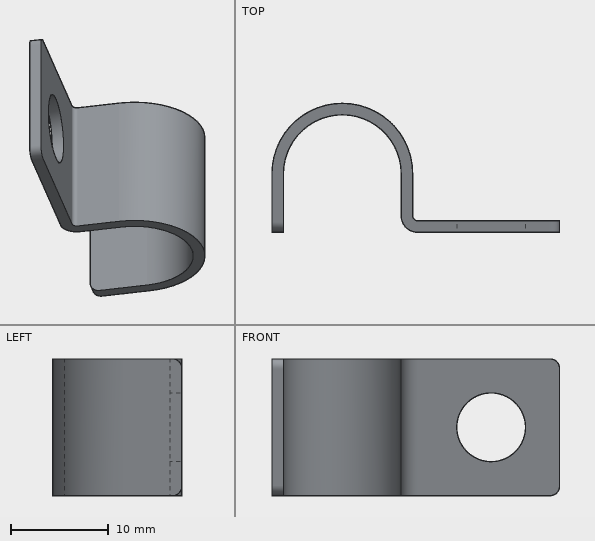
import cadquery as cq

strip_width = 14.0
thickness = 1.2
clamped_diameter = 12.0
overall_length = 29.4
leg_length = 6.0
bend_inner_radius = 0.5
corner_radius = 1.0
hole_diameter = 7.0
hole_edge_distance = 7.0

inner_radius = clamped_diameter / 2
outer_radius = inner_radius + thickness
bend_outer_radius = bend_inner_radius + thickness
mount_y = -leg_length
flange_back_y = mount_y + thickness
bend_x = inner_radius + bend_outer_radius
bend_y = mount_y + bend_outer_radius
flange_end_x = overall_length - outer_radius


def make_strip():
    """Bent strip: free leg, half-round loop, second leg, bend and flange."""
    profile = (
        cq.Workplane("XY")
        .moveTo(-outer_radius, mount_y)
        .lineTo(-outer_radius, 0)
        .threePointArc((0, outer_radius), (outer_radius, 0))
        .lineTo(outer_radius, bend_y)
        .radiusArc((bend_x, flange_back_y), -bend_inner_radius)
        .lineTo(flange_end_x, flange_back_y)
        .lineTo(flange_end_x, mount_y)
        .lineTo(bend_x, mount_y)
        .radiusArc((inner_radius, bend_y), bend_outer_radius)
        .lineTo(inner_radius, 0)
        .threePointArc((0, inner_radius), (-inner_radius, 0))
        .lineTo(-inner_radius, mount_y)
        .close()
    )
    return profile.extrude(strip_width / 2, both=True)


def round_corners(strip):
    """Round the two corners of the flange end and of the free leg end."""
    rounded = strip.faces(">X").edges("|Y").fillet(corner_radius)
    free_leg_corners = cq.selectors.BoxSelector(
        (-outer_radius - thickness, mount_y - thickness, -strip_width),
        (-inner_radius + thickness, mount_y + thickness, strip_width),
    )
    return rounded.edges(free_leg_corners).edges("|X").edges("<Y").fillet(corner_radius)


def make_hole_tool():
    """Cylinder along Y that pierces the flange."""
    return (
        cq.Workplane("XZ", origin=(flange_end_x - hole_edge_distance, flange_back_y, 0))
        .circle(hole_diameter / 2)
        .extrude(thickness)
    )


result = round_corners(make_strip()).cut(make_hole_tool())